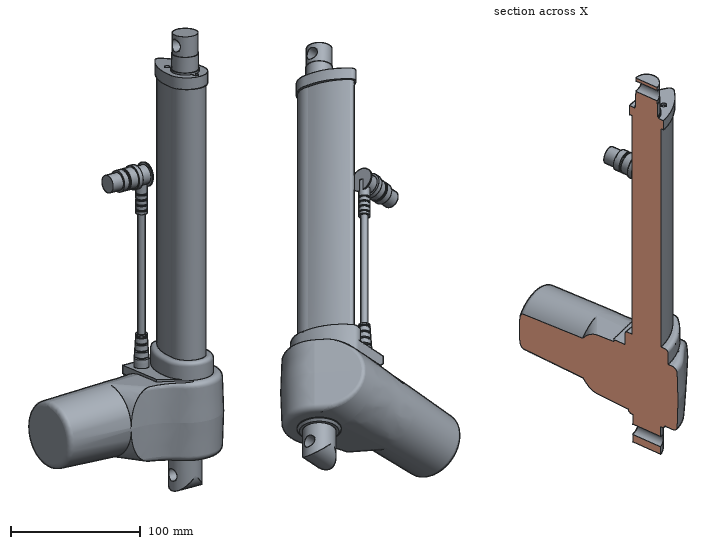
import cadquery as cq
import math


housing_bottom = 30.5
housing_top = 95.3
housing_height = housing_top - housing_bottom
housing_middle = (housing_bottom + housing_top) / 2
housing_left = -48.5
housing_corner_y = 5.5
drum_radius = 29.8
drum_rim_round = 5.0
housing_taper = 2.0
slant_edge_round = 3.7
blend_radius = 41.0
blend_top_y = -7.5

motor_root_y = -59.5
motor_root_left = -48.0
motor_root_right = 8.2
motor_root_half_height = 29.5
motor_end_y = -118.7
motor_end_left = -47.3
motor_end_right = 6.7
motor_end_half_height = 26.8
motor_end_round = 4.0
outline_margin = 3.7
bulge_share = 0.499

clevis_radius = 13.0
clevis_top = 33.5
pin_diameter = 10.0
collar_radius = 17.0
collar_bottom = 28.0
collar_edge = 2.0

neck_plan = (-38.7, 22.7, 20.5)
tube_plan = (-33.5, 17.5, 13.8)
cap_plan = (-35.0, 18.2, 16.0)
tip_length = 1.0
tip_share = 0.18
neck_bottom = 86.0
neck_top = 109.8
neck_round = 3.5
tube_top = 331.5
cap_top = 341.3
screw_diameter = 4.5
screw_depth = 2.2
screw_places = [(-15.3, 5.5), (-15.3, -5.5), (13.0, 0)]

rod_radius = 10.5
rod_seal_radius = 11.0
rod_seal_height = 1.5
rod_eye_z = 363.5
rod_top = 372.2
rod_end_bottom = 355.5
rod_end_radius = 10.0

plate_left = -38.7
plate_right = 16.5
plate_right_y = -14.5
plate_corner_x = 3.5
plate_top = 96.0
plate_front_y = -31.0
plate_edge = 3.5

cable_x = -28.0
cable_y = -21.0
cable_radius = 3.0
relief_bottom = 100.0
relief_top = 123.0
relief_foot_radius = 6.0
relief_tip_radius = 4.5
plug_z = 252.5
plug_relief_bottom = 221.5
plug_relief_top = 239.0
plug_relief_radius = 4.5
relief_ribs = 4
groove_depth = 1.0
elbow_radius = 4.5
plug_steps = [
    (-16.7, -18.0, 9.5),
    (-18.0, -26.8, 8.0),
    (-26.8, -30.5, 9.5),
    (-30.5, -37.5, 8.5),
    (-37.5, -39.0, 8.0),
    (-39.0, -44.3, 8.5),
    (-44.3, -54.5, 7.0),
]


def cylinder(x, y, bottom, top, radius):
    return cq.Workplane("XY", origin=(x, y, bottom)).circle(radius).extrude(top - bottom)


def cylinder_along_y(x, z, start_y, end_y, radius):
    return cq.Workplane("XZ", origin=(x, start_y, z)).circle(radius).extrude(start_y - end_y)


def teardrop(left, right, half_width, bottom, top):
    """Prism with a round right end and a blunt pointed left end."""
    tip_x = left + tip_length
    tip_half = tip_share * half_width
    rise = half_width - tip_half
    side_radius = (tip_x**2 + rise**2) / (2 * rise)
    side_x = tip_x / 2
    side_y = half_width - side_radius + math.sqrt(side_radius**2 - side_x**2)
    return (
        cq.Workplane("XY", origin=(0, 0, bottom))
        .moveTo(0, half_width)
        .threePointArc((side_x, side_y), (tip_x, tip_half))
        .threePointArc((left, 0), (tip_x, -tip_half))
        .threePointArc((side_x, -side_y), (0, -half_width))
        .threePointArc((right, 0), (0, half_width))
        .close()
        .extrude(top - bottom)
    )


def make_housing_outline():
    """Prism that holds the plan outline of the drum and its hollow blend to the motor."""
    corner_distance = math.hypot(housing_left, housing_corner_y)
    corner_angle = math.atan2(housing_corner_y, housing_left)
    tangent_angle = corner_angle - math.acos(drum_radius / corner_distance)
    tangent_x = drum_radius * math.cos(tangent_angle)
    tangent_y = drum_radius * math.sin(tangent_angle)
    slope = (tangent_y - housing_corner_y) / (tangent_x - housing_left)
    outer_left = housing_left - outline_margin
    outer_left_y = housing_corner_y - slope * outline_margin
    outline_end_y = motor_end_y - outline_margin

    blend_x = motor_root_right + blend_radius
    center_distance = drum_radius + blend_radius
    blend_y = -math.sqrt(center_distance**2 - blend_x**2)
    drum_share = drum_radius / center_distance
    blend_start_angle = math.atan2(-blend_y, -blend_x)
    blend_mid_angle = (blend_start_angle + math.pi) / 2
    blend_middle = (
        blend_x + blend_radius * math.cos(blend_mid_angle),
        blend_y + blend_radius * math.sin(blend_mid_angle),
    )

    def half(direction):
        """Upper or lower half, leaning inwards away from the middle plane."""
        return (
            cq.Workplane("XY", origin=(0, 0, housing_middle))
            .moveTo(outer_left, outer_left_y)
            .lineTo(tangent_x, tangent_y)
            .threePointArc((drum_radius, 0), (drum_share * blend_x, drum_share * blend_y))
            .threePointArc(blend_middle, (motor_root_right, blend_y))
            .lineTo(motor_root_right, outline_end_y)
            .lineTo(outer_left, outline_end_y)
            .close()
            .extrude(direction * housing_height / 2, taper=housing_taper)
            .faces("<Z" if direction < 0 else ">Z")
            .edges("%CIRCLE")
            .fillet(drum_rim_round)
        )

    return half(1).union(half(-1))


def round_section(y, left, right, half_height):
    """Upright section with a round bulge on both sides, as wide as asked."""
    bulge = min(half_height, bulge_share * (right - left))
    return (
        cq.Workplane("XZ", origin=(0, y, housing_middle))
        .moveTo(left + bulge, -half_height)
        .threePointArc((left, 0), (left + bulge, half_height))
        .lineTo(right - bulge, half_height)
        .threePointArc((right, 0), (right - bulge, -half_height))
        .close()
    )


def make_housing():
    """Housing and motor in one: rounded sections along Y, trimmed to the plan outline."""
    drum_section = (housing_left, 3 * drum_radius, housing_height / 2)
    drum_length = 2 * drum_radius - blend_top_y
    drum = round_section(2 * drum_radius, *drum_section).extrude(drum_length)
    sections = [
        round_section(blend_top_y, *drum_section),
        round_section(motor_root_y, motor_root_left, motor_root_right, motor_root_half_height),
        round_section(motor_end_y, motor_end_left, motor_end_right, motor_end_half_height),
    ]
    motor = cq.Workplane(cq.Solid.makeLoft([section.val() for section in sections], True))
    motor = motor.faces("<Y").edges().fillet(motor_end_round)
    housing = drum.union(motor).intersect(make_housing_outline())
    slant_zone = cq.selectors.BoxSelector((housing_left, 0, 0), (-drum_radius / 2, drum_radius, neck_top))
    return housing.edges(slant_zone).edges("%ELLIPSE or %BSPLINE").fillet(slant_edge_round)


def make_clevis():
    side_profile = (
        cq.Workplane("XZ", origin=(0, clevis_radius, 0))
        .moveTo(-clevis_radius, clevis_top)
        .lineTo(-clevis_radius, clevis_radius)
        .threePointArc((0, 0), (clevis_radius, clevis_radius))
        .lineTo(clevis_radius, clevis_top)
        .close()
        .extrude(2 * clevis_radius)
    )
    tongue = cylinder(0, 0, 0, clevis_top, clevis_radius).intersect(side_profile)
    pin_hole = cylinder_along_y(0, clevis_radius, clevis_radius, -clevis_radius, pin_diameter / 2)
    collar = cylinder(0, 0, collar_bottom, clevis_top, collar_radius).faces("<Z").chamfer(collar_edge)
    return tongue.cut(pin_hole).union(collar)


def make_tube():
    neck = teardrop(*neck_plan, neck_bottom, neck_top).faces(">Z").edges().fillet(neck_round)
    tube = teardrop(*tube_plan, neck_bottom, tube_top)
    cap = teardrop(*cap_plan, tube_top, cap_top)
    for x, y in screw_places:
        cap = cap.cut(cylinder(x, y, cap_top - screw_depth, cap_top, screw_diameter / 2))
    return neck.union(tube).union(cap)


def make_rod():
    rod = cylinder(0, 0, tube_top, rod_end_bottom, rod_radius)
    end = cylinder(0, 0, rod_end_bottom, rod_top, rod_end_radius)
    seal = cylinder(0, 0, tube_top, cap_top + rod_seal_height, rod_seal_radius)
    eye = cylinder_along_y(0, rod_eye_z, rod_radius, -rod_radius, pin_diameter / 2)
    return rod.union(end).union(seal).cut(eye)


def make_plate():
    return (
        cq.Workplane("XY", origin=(0, 0, neck_bottom))
        .polyline(
            [
                (plate_left, 0),
                (plate_left, plate_front_y),
                (plate_corner_x, plate_front_y),
                (plate_right, plate_right_y),
                (plate_right, 0),
            ]
        )
        .close()
        .extrude(plate_top - neck_bottom)
        .faces("<Y")
        .edges("<Z")
        .chamfer(plate_edge)
    )


def make_relief(bottom, top, bottom_radius, top_radius):
    """Tapered strain relief on the cable with evenly spaced grooves."""
    height = top - bottom
    taper = (
        cq.Workplane("XY", origin=(cable_x, cable_y, bottom))
        .circle(bottom_radius)
        .workplane(offset=height)
        .circle(top_radius)
        .loft()
    )
    pitch = height / relief_ribs
    for index in range(relief_ribs):
        groove_bottom = bottom + index * pitch + pitch / 2
        groove_top = groove_bottom + pitch / 4
        groove = cylinder(cable_x, cable_y, groove_bottom, groove_top, 2 * bottom_radius)
        core = cylinder(cable_x, cable_y, groove_bottom, groove_top, top_radius - groove_depth)
        taper = taper.cut(groove.cut(core))
    return taper


def make_cable():
    cable = cylinder(cable_x, cable_y, neck_bottom, plug_z, cable_radius)
    foot = cylinder(cable_x, cable_y, neck_bottom, relief_bottom, relief_foot_radius)
    elbow = cylinder(cable_x, cable_y, plug_relief_top, plug_z, elbow_radius)
    assembly = cable.union(foot).union(elbow)
    assembly = assembly.union(make_relief(relief_bottom, relief_top, relief_foot_radius, relief_tip_radius))
    assembly = assembly.union(
        make_relief(plug_relief_bottom, plug_relief_top, plug_relief_radius, plug_relief_radius)
    )
    for start_y, end_y, radius in plug_steps:
        assembly = assembly.union(cylinder_along_y(cable_x, plug_z, start_y, end_y, radius))
    return assembly


result = make_housing()
for piece in (make_clevis(), make_tube(), make_rod(), make_plate(), make_cable()):
    result = result.union(piece)